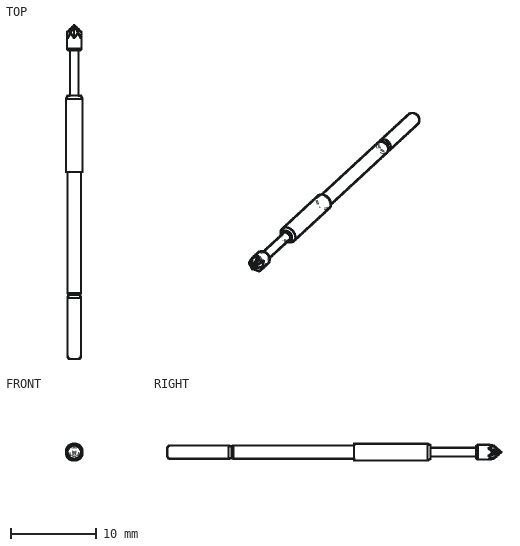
import cadquery as cq
import math

length = 39.3

head_length = 3.0
nose_start = 8.3
collar_start = 8.7
collar_end = 17.3
groove_start = 31.5
groove_floor = 31.75
groove_end = 32.1

head_radius = 0.875
plunger_radius = 0.525
nose_radius = 0.8
collar_radius = 1.0
barrel_radius = 0.8

head_chamfer_length = 0.25
head_chamfer_depth = 0.2
groove_depth = 0.12
tail_fillet = 0.38

ridge_count = 6
ridge_angle = 45
valley_angle = 30
ridge_slope = math.tan(math.radians(ridge_angle))
valley_slope = math.tan(math.radians(valley_angle))


def behind_tip(distance):
    """Y position of a point at the given distance behind the tip."""
    return length - distance


def turned_body():
    """Head, plunger, collar and grooved barrel as one revolved profile."""
    profile = (
        cq.Workplane("XY")
        .moveTo(0, length)
        .lineTo(head_radius, length)
        .lineTo(head_radius, behind_tip(head_length - head_chamfer_length))
        .lineTo(head_radius - head_chamfer_depth, behind_tip(head_length))
        .lineTo(plunger_radius, behind_tip(head_length))
        .lineTo(plunger_radius, behind_tip(nose_start))
        .lineTo(nose_radius, behind_tip(nose_start))
        .lineTo(collar_radius, behind_tip(collar_start))
        .lineTo(collar_radius, behind_tip(collar_end))
        .lineTo(barrel_radius, behind_tip(collar_end))
        .lineTo(barrel_radius, behind_tip(groove_start))
        .lineTo(barrel_radius - groove_depth, behind_tip(groove_floor))
        .lineTo(barrel_radius, behind_tip(groove_end))
        .lineTo(barrel_radius, tail_fillet)
        .radiusArc((barrel_radius - tail_fillet, 0), tail_fillet)
        .lineTo(0, 0)
        .close()
    )
    return profile.revolve(360, (0, 0, 0), (0, 1, 0))


def star_pyramid(height):
    """Pyramid on a star-shaped base, with its apex at the tip and ridges at +X and -X."""
    apex = cq.Vector(0, length, 0)
    base = []
    for corner in range(2 * ridge_count):
        slope = valley_slope if corner % 2 else ridge_slope
        angle = corner * math.pi / ridge_count
        radius = height * slope
        base.append(cq.Vector(radius * math.cos(angle), length - height, radius * math.sin(angle)))
    faces = [cq.Face.makeFromWires(cq.Wire.makePolygon(base, close=True))]
    for start, end in zip(base, base[1:] + base[:1]):
        faces.append(cq.Face.makeFromWires(cq.Wire.makePolygon([apex, start, end], close=True)))
    return cq.Workplane(cq.Solid.makeSolid(cq.Shell.makeShell(faces)))


def tip_waste():
    """Material around the star, down to where its valleys run out of the head."""
    height = head_radius / valley_slope
    blank_radius = 2 * head_radius
    blank = (
        cq.Workplane("XZ", origin=(0, length, 0))
        .circle(blank_radius)
        .extrude(height)
    )
    return blank.cut(star_pyramid(height))


result = turned_body().cut(tip_waste())